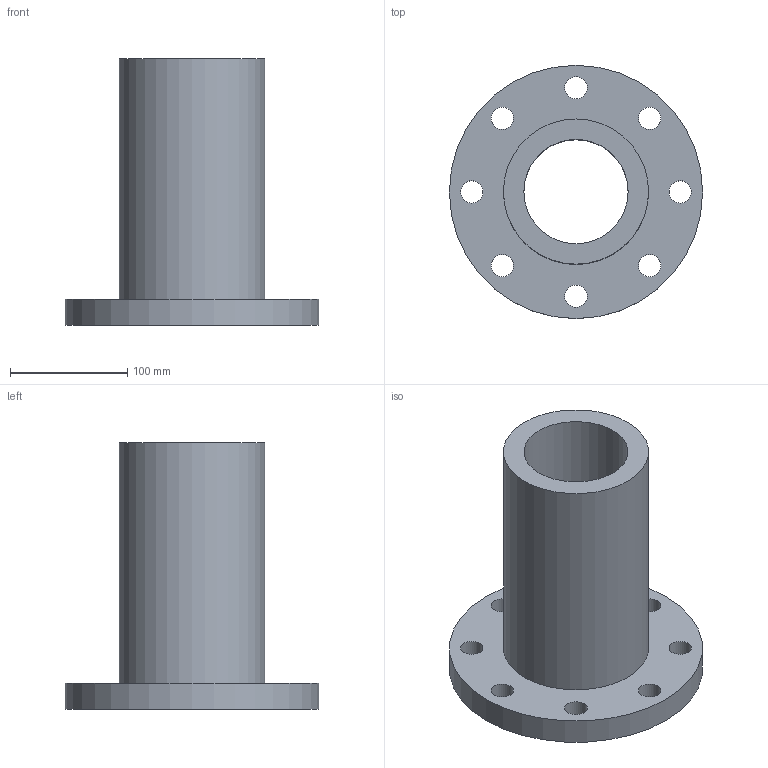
import cadquery as cq

flange_diameter = 215.9
flange_thickness = 22.2

overall_height = 227.01
hub_diameter = 123.8
bore_diameter = 88.9

bolt_hole_count = 8
bolt_hole_diameter = 19.05
bolt_circle_diameter = 177.8


def make_flange():
    """Round plate with its bottom face on Z = 0."""
    return cq.Workplane("XY").circle(flange_diameter / 2).extrude(flange_thickness)


def make_hub():
    """Straight cylinder from the bottom face to the full height."""
    return cq.Workplane("XY").circle(hub_diameter / 2).extrude(overall_height)


def make_bore():
    """Cutter for the through bore."""
    return cq.Workplane("XY").circle(bore_diameter / 2).extrude(overall_height)


def make_bolt_holes():
    """Cutters for the ring of through bolt holes."""
    return (
        cq.Workplane("XY")
        .polarArray(bolt_circle_diameter / 2, 0, 360, bolt_hole_count)
        .circle(bolt_hole_diameter / 2)
        .extrude(flange_thickness)
    )


body = make_flange().union(make_hub())
result = body.cut(make_bore()).cut(make_bolt_holes())